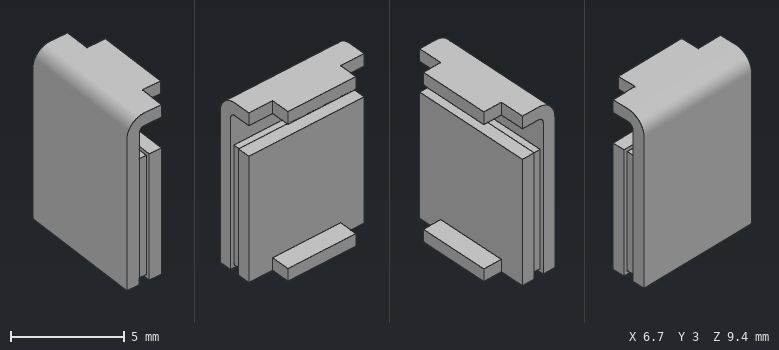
import cadquery as cq

width = 6.7
height = 9.4
depth = 3.0

sheet = 0.705
bend_radius = 1.01
inner_bend_radius = bend_radius - sheet
tab_width = 3.95
tab_length = 1.04
body_depth = depth - tab_length

rear_plate_height = 7.0
core_inset = 0.2
core_depth = body_depth - 2 * sheet
core_height = rear_plate_height - 2 * core_inset
core_width = width - 2 * core_inset


def block(size_x, size_y, size_z, front_y, bottom_z):
    """Box centred on X, starting at the given front face and underside."""
    return (
        cq.Workplane("XY")
        .box(size_x, size_y, size_z, centered=(True, False, False))
        .translate((0, front_y, bottom_z))
    )


def front_terminal():
    """Front plate bent rearwards at the top, ending in a narrower solder tab."""
    plate = block(width, sheet, height, 0, 0)
    flange = block(width, body_depth, sheet, 0, height - sheet)
    corner = block(width, bend_radius, bend_radius, 0, height - bend_radius)
    bent = plate.union(flange).union(corner)
    bent = bent.edges("|X and >Z and <Y").fillet(bend_radius)
    inner_bend = (
        cq.Workplane("YZ")
        .center(bend_radius, height - bend_radius)
        .circle(inner_bend_radius)
        .extrude(width / 2, both=True)
    )
    tab = block(tab_width, tab_length, sheet, body_depth, height - sheet)
    return bent.cut(inner_bend).union(tab)


def rear_terminal():
    """Rear plate with a solder tab along its lower edge."""
    plate = block(width, sheet, rear_plate_height, body_depth - sheet, 0)
    tab = block(tab_width, tab_length, sheet, body_depth, 0)
    return plate.union(tab)


core = block(core_width, core_depth, core_height, sheet, core_inset)

result = front_terminal().union(core).union(rear_terminal())